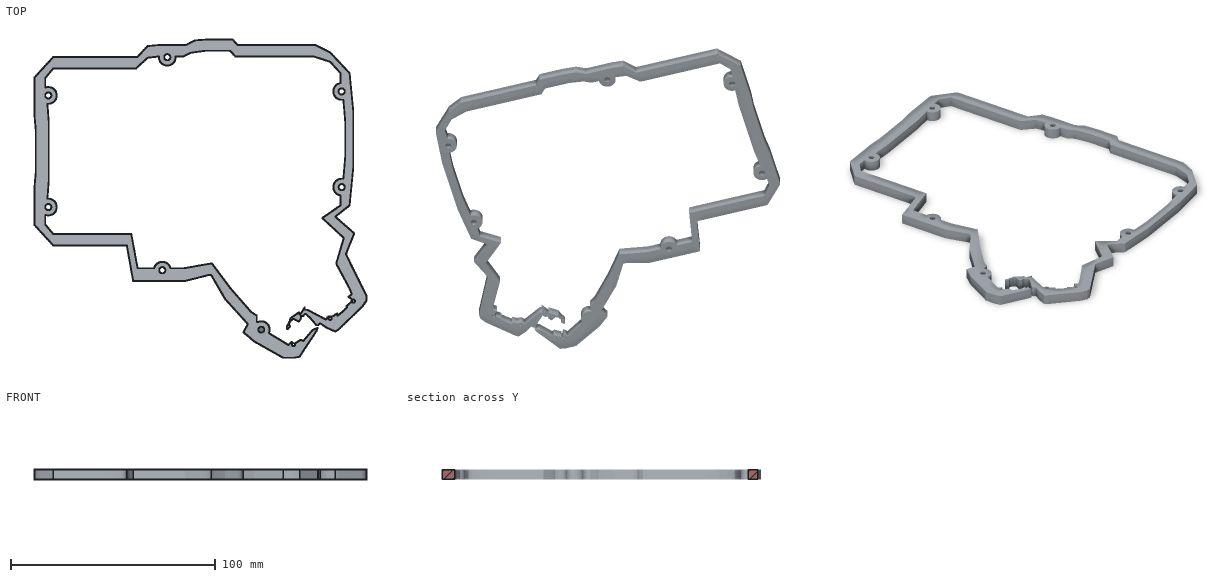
import cadquery as cq


thickness = 5.0
half_width = 81.4
top_y = 78.1
bottom_y = -78.0

left_axis_y = 23.3
left_waist_x = -80.7
left_corner_x = -72.1
left_outer_half = 46.2
left_inner_half = 40.5

right_axis_y = 29.1
right_outer_x = 74.9

top_shoulder_y = 75.4
top_shoulder_inner_y = 69.7
crest_inner_y = 72.5
step_outer_y = -40.4
step_inner_y = -34.0

boss_diameter = 8.3
screw_hole_diameter = 3.0
blind_hole_depth = 2.5
left_boss_x = -74.5
left_boss_offset = 27.3
right_boss_x = 69.2
right_boss_offset = 23.5
top_boss = (-16.3, 69.3)
bottom_boss = (-18.7, -35.0)
blind_boss = (29.8, -64.1)

notch_diameter = 1.5
notch_centers = [(74.9, -50.1), (63.5, -58.6), (45.5, -71.5)]


def mirrored_run(axis_y, half_run):
    """Run of points down a wall; half_run lists (x, distance above the axis), top first."""
    upper = [(x, axis_y + offset) for x, offset in half_run]
    lower = [(x, axis_y - offset) for x, offset in reversed(half_run)]
    return upper + lower


outer_lower_wall = [
    (57.5, -63.2),
    (57.0, -64.6),
    (48.5, -77.5),
    (45.7, bottom_y),
    (40.5, bottom_y),
    (26.4, -70.0),
    (21.0, -65.5),
    (23.1, -61.4),
    (12.0, -49.2),
    (5.2, -37.5),
    (3.9, -37.5),
    (-7.7, step_outer_y),
    (-33.0, step_outer_y),
    (-36.1, left_axis_y - left_outer_half),
]
outer_left_wall = mirrored_run(
    left_axis_y,
    [
        (left_corner_x, left_outer_half),
        (-half_width, 36.1),
        (-half_width, 17.4),
        (left_waist_x, 10.1),
    ],
)
outer_top_wall = [
    (-31.0, left_axis_y + left_outer_half),
    (-25.9, 74.9),
    (-20.3, top_shoulder_y),
    (-7.2, top_shoulder_y),
    (-2.6, 77.7),
    (4.0, top_y),
    (15.6, top_y),
    (18.2, top_shoulder_y),
    (56.3, top_shoulder_y),
    (63.5, 71.8),
]
outer_right_wall = mirrored_run(right_axis_y, [(73.1, 32.4), (right_outer_x, 14.2)])
outer_end_wall = [
    (66.1, -8.8),
    (75.4, -17.0),
    (71.3, -27.2),
    (half_width, -47.5),
    (half_width, -49.8),
    (79.5, -52.7),
    (67.5, -64.1),
    (66.1, -65.1),
    (61.7, -63.2),
    (58.6, -61.0),
    (57.6, -62.0),
    (56.8, -62.0),
    (53.9, -58.6),
    (51.5, -56.3),
    (50.3, -57.5),
    (49.3, -57.5),
]

hook = [
    (49.2, -59.0),
    (48.2, -60.2),
    (45.5, -59.0),
    (44.5, -59.5),
    (43.3, -61.4),
    (44.0, -62.5),
    (42.7, -64.0),
    (42.2, -63.5),
    (42.2, -62.7),
    (42.8, -61.7),
    (43.8, -59.5),
    (44.0, -58.6),
    (48.3, -55.5),
    (48.7, -56.8),
    (49.2, -56.2),
    (51.1, -53.0),
]

inner_end_wall = [
    (51.1, -54.4),
    (52.4, -54.4),
    (61.4, -59.1),
    (62.7, -57.6),
    (65.0, -57.5),
    (66.9, -56.2),
    (67.0, -57.3),
    (69.3, -55.5),
    (72.0, -53.0),
    (71.3, -52.7),
    (73.7, -50.6),
    (73.7, -49.0),
    (72.5, -48.0),
    (74.0, -46.7),
    (72.8, -43.6),
    (66.4, -31.7),
    (70.2, -19.2),
    (59.5, -9.5),
]
inner_right_wall = mirrored_run(
    right_axis_y,
    [(68.5, 32.4), (68.5, 27.5), (70.0, 18.5), (70.8, 9.1)],
)
inner_top_wall = [
    (63.5, 67.0),
    (55.3, top_shoulder_inner_y),
    (17.1, top_shoulder_inner_y),
    (14.5, crest_inner_y),
    (2.3, crest_inner_y),
    (-4.7, 71.5),
    (-8.5, top_shoulder_inner_y),
    (-20.3, top_shoulder_inner_y),
    (-25.9, 69.0),
    (-31.5, left_axis_y + left_inner_half),
]
inner_left_wall = mirrored_run(
    left_axis_y,
    [
        (left_corner_x, left_inner_half),
        (-76.0, 35.8),
        (-76.0, 31.5),
        (-74.9, 22.3),
        (-74.2, 13.7),
    ],
)
inner_lower_wall = [
    (-33.9, left_axis_y - left_inner_half),
    (-30.8, step_inner_y),
    (-8.3, step_inner_y),
    (5.5, -31.5),
    (14.8, -44.0),
    (24.7, -55.3),
    (27.7, -57.3),
    (27.7, -60.2),
    (33.2, -65.6),
    (43.1, -71.6),
    (44.6, -70.0),
    (45.5, -71.0),
    (46.5, -70.7),
    (49.2, -69.0),
    (50.3, -69.7),
    (55.0, -64.1),
]

outer_edge = outer_lower_wall + outer_left_wall[::-1] + outer_top_wall + outer_right_wall + outer_end_wall
inner_edge = (
    inner_end_wall + inner_right_wall[::-1] + inner_top_wall + inner_left_wall + inner_lower_wall
)


def cylinders(centers, diameter, height):
    """Upright cylinders standing on Z = 0 at the given centers."""
    return cq.Workplane("XY").pushPoints(centers).circle(diameter / 2).extrude(height)


rim = cq.Workplane("XY").polyline(outer_edge + hook + inner_edge).close().extrude(thickness)

through_bosses = [top_boss, bottom_boss]
for side in (1, -1):
    through_bosses.append((left_boss_x, left_axis_y + side * left_boss_offset))
    through_bosses.append((right_boss_x, right_axis_y + side * right_boss_offset))

rim = rim.union(cylinders(through_bosses + [blind_boss], boss_diameter, thickness))
rim = rim.cut(cylinders(through_bosses, screw_hole_diameter, thickness))

blind_hole = cylinders([blind_boss], screw_hole_diameter, blind_hole_depth)
rim = rim.cut(blind_hole.translate((0, 0, thickness - blind_hole_depth)))

result = rim.cut(cylinders(notch_centers, notch_diameter, thickness))